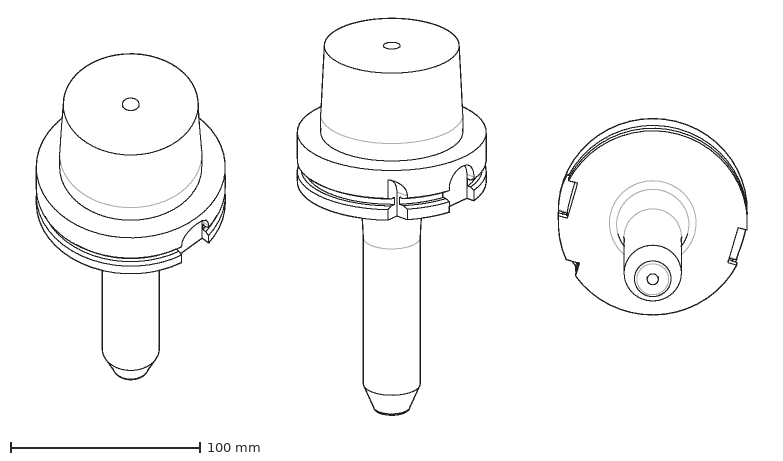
import cadquery as cq
import math

total_height = 210.0
flange_top = total_height - 50.0
flange_bottom = 131.2
taper_base = 170.0
groove_top = 143.8
groove_bottom = 137.3
neck_top = 127.5
neck_bottom = 99.1
tip_cone_top = 14.5
tip_round = 1.3

flange_radius = 50.0
groove_lip_radius = 47.9
groove_radius = 45.8
groove_bevel_height = 1.3
head_radius = 37.5
head_top_radius = 35.7
neck_radius = 19.1
shank_radius = 15.1
tip_radius = 9.7
neck_fillet = flange_bottom - neck_top

bore_radius = 3.0
head_bore_radius = 4.5
head_bore_depth = total_height - flange_top

slot_width = 19.7
slot_top = 155.0
drive_slot_floor = 44.0
side_slot_floor = 31.3
side_slot_offset = 41.5


def neck_arc_middle(end_radius, start_height, end_height):
    """Middle point of the neck arc, which runs tangent into the shank."""
    rise = end_height - start_height
    flare = end_radius - shank_radius
    arc_radius = (rise**2 + flare**2) / (2 * flare)
    half_angle = math.asin(rise / arc_radius) / 2
    return (
        shank_radius + arc_radius * (1 - math.cos(half_angle)),
        start_height + arc_radius * math.sin(half_angle),
    )


def make_body():
    """Revolve the whole silhouette about the Z axis."""
    diagonal = math.sqrt(0.5)
    fillet_mid = (
        neck_radius + neck_fillet * (1 - diagonal),
        neck_top + neck_fillet * diagonal,
    )
    tip_mid = (
        tip_radius - tip_round * (1 - diagonal),
        tip_round * (1 - diagonal),
    )
    return (
        cq.Workplane("XZ")
        .moveTo(0, 0)
        .lineTo(tip_radius - tip_round, 0)
        .threePointArc(tip_mid, (tip_radius, tip_round))
        .lineTo(shank_radius, tip_cone_top)
        .lineTo(shank_radius, neck_bottom)
        .threePointArc(neck_arc_middle(neck_radius, neck_bottom, neck_top), (neck_radius, neck_top))
        .threePointArc(fillet_mid, (neck_radius + neck_fillet, flange_bottom))
        .lineTo(flange_radius, flange_bottom)
        .lineTo(flange_radius, groove_bottom)
        .lineTo(groove_lip_radius, groove_bottom + groove_bevel_height)
        .lineTo(groove_radius, groove_bottom + groove_bevel_height)
        .lineTo(groove_radius, groove_top - groove_bevel_height)
        .lineTo(groove_lip_radius, groove_top - groove_bevel_height)
        .lineTo(flange_radius, groove_top)
        .lineTo(flange_radius, flange_top)
        .lineTo(head_radius, flange_top)
        .lineTo(head_radius, taper_base)
        .lineTo(head_top_radius, total_height)
        .lineTo(0, total_height)
        .close()
        .revolve(360, (0, 0), (0, 1))
    )


def make_slot(floor, offset):
    """Cutter for a slot on the -X side, centred at Y = offset."""
    half_width = slot_width / 2
    spring_height = slot_top - half_width
    return (
        cq.Workplane("YZ", origin=(-floor, offset, 0))
        .moveTo(-half_width, flange_bottom)
        .lineTo(-half_width, spring_height)
        .threePointArc((0, slot_top), (half_width, spring_height))
        .lineTo(half_width, flange_bottom)
        .close()
        .extrude(-flange_radius)
    )


def make_bore():
    bore = cq.Workplane("XY").circle(bore_radius).extrude(total_height)
    head_bore = (
        cq.Workplane("XY", origin=(0, 0, total_height))
        .circle(head_bore_radius)
        .extrude(-head_bore_depth)
    )
    return bore.union(head_bore)


drive_slot = make_slot(drive_slot_floor, 0)
opposite_drive_slot = drive_slot.mirror("YZ")
side_slot = make_slot(side_slot_floor, side_slot_offset)

result = make_body().cut(make_bore())
for slot in (drive_slot, opposite_drive_slot, side_slot):
    result = result.cut(slot)